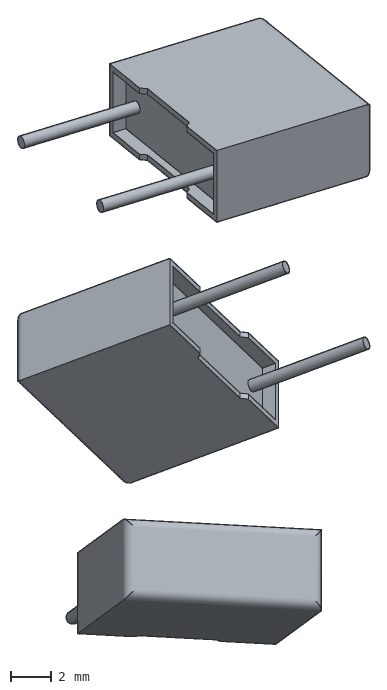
import cadquery as cq


case_width = 10.2
case_height = 4.1
wall = 0.32
closed_end_radius = 0.45

total_length = 15.1
lead_length = 5.98
lead_diameter = 0.65
lead_pitch = 7.5
case_length = total_length - lead_length

potting_recess = 0.75

notch_depth = 0.3
notch_mouth_width = 4.5
notch_floor_width = 3.95

cavity_width = case_width - 2 * wall
cavity_height = case_height - 2 * wall
cavity_depth = case_length - wall


def block_along_y(width, height, y_start, y_end):
    """Box centred on the Y axis, between two Y positions."""
    block = cq.Workplane("XY").box(width, y_end - y_start, height, centered=(True, False, True))
    return block.translate((0, y_start, 0))


def make_notch_cutter():
    """Trapezoid that notches the top and bottom walls of the rim in one cut."""
    outline = [
        (-notch_mouth_width / 2, 0),
        (-notch_floor_width / 2, notch_depth),
        (notch_floor_width / 2, notch_depth),
        (notch_mouth_width / 2, 0),
    ]
    return cq.Workplane("XY").polyline(outline).close().extrude(case_height / 2, both=True)


def make_case():
    """Hollow case with a rounded closed end and a notched rim."""
    shell = block_along_y(case_width, case_height, 0, case_length)
    shell = shell.faces(">Y").edges().fillet(closed_end_radius)
    cavity = block_along_y(cavity_width, cavity_height, 0, cavity_depth)
    return shell.cut(cavity).cut(make_notch_cutter())


def make_potting():
    """Fill of the cavity, set back from the rim."""
    return block_along_y(cavity_width, cavity_height, potting_recess, cavity_depth)


def make_lead(x):
    """Round lead from the potting surface outwards."""
    surface = cq.Workplane("XZ", origin=(x, potting_recess, 0))
    return surface.circle(lead_diameter / 2).extrude(potting_recess + lead_length)


case = make_case()
potting = make_potting()
leads = [make_lead(side * lead_pitch / 2) for side in (-1, 1)]

result = cq.Compound.makeCompound([case.val(), potting.val(), *[lead.val() for lead in leads]])